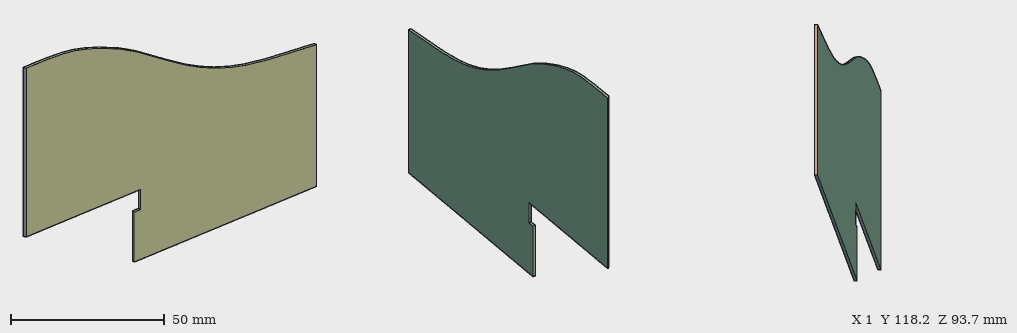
import cadquery as cq

thickness = 1.0
length = 118.2
height = 93.7
back_height = 55.6

cutout_height = 27.4
cutout_length = 44.3
step_height = 19.6
undercut_depth = 2.5

bevel = 0.7

front_y = -length / 2
back_y = length / 2
lip_y = front_y + cutout_length
undercut_y = lip_y + undercut_depth

top_edge_points = [
    (back_y, back_height),
    (42.0, 57.2),
    (25.0, 60.4),
    (7.8, 67.9),
    (-5.0, 76.2),
    (-17.9, 84.4),
    (-34.9, 91.5),
    (front_y, height),
]
back_tangent = (-1, 0.09)
front_tangent = (-1, 0)


def make_panel():
    """Panel outline in the YZ plane, given its thickness along X."""
    return (
        cq.Workplane("YZ")
        .workplane(offset=-thickness / 2)
        .moveTo(lip_y, 0)
        .lineTo(back_y, 0)
        .lineTo(*top_edge_points[0])
        .spline(
            top_edge_points[1:],
            tangents=[back_tangent, front_tangent],
            includeCurrent=True,
        )
        .lineTo(front_y, cutout_height)
        .lineTo(undercut_y, cutout_height)
        .lineTo(undercut_y, step_height)
        .lineTo(lip_y, step_height)
        .close()
        .extrude(thickness)
    )


def make_bevel_cutter():
    """Upright triangular prism along the front +X edge."""
    return (
        cq.Workplane("XY")
        .moveTo(thickness / 2, front_y)
        .lineTo(thickness / 2, front_y + bevel)
        .lineTo(thickness / 2 - bevel, front_y)
        .close()
        .extrude(height)
    )


result = make_panel().cut(make_bevel_cutter())